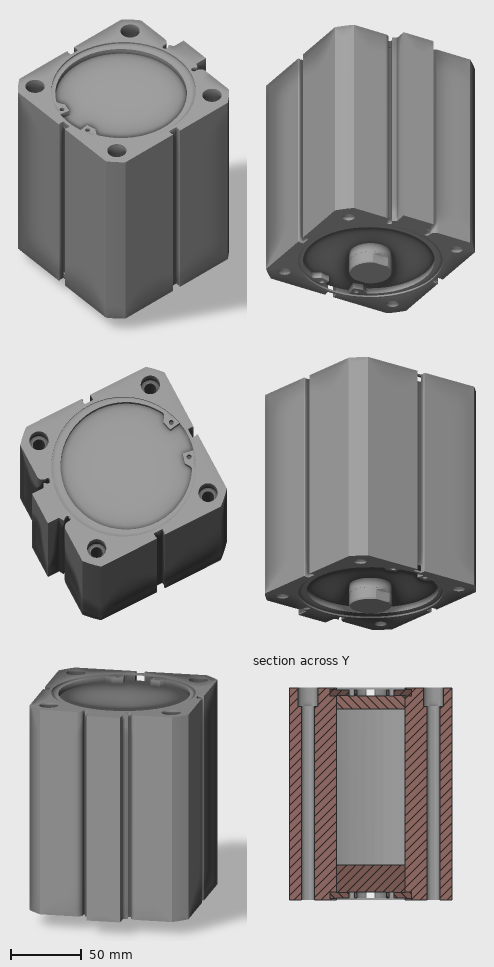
import cadquery as cq
import math

TOTAL_LENGTH = 160.0
ROD_STICK_OUT = 10.0
BODY_HEIGHT = TOTAL_LENGTH - ROD_STICK_OUT
BODY_WIDTH = 115.0
HALF_WIDTH = BODY_WIDTH / 2
TOTAL_DEPTH = 124.0
CORNER_RADIUS = 74.7

BORE_RADIUS = 51.0

SLOT_FLOOR = 53.1
SLOT_WIDTH = 6.9
SLOT_NECK = 5.6
SLOT_MOUTH = 6.5
SLOT_LIP = 0.8

RAIL_HALF_WIDTH = 12.2
GROOVE_X = 15.5
GROOVE_Y = 52.3
GROOVE_RADIUS = 2.0
GROOVE_SLANT = 30
GROOVE_LIP_Y = 55.7
GROOVE_ROUND_X = 21.8

HOLE_OFFSET = 44.3
HOLE_DIAMETER = 8.6
COUNTERBORE_DIAMETER = 13.6
COUNTERBORE_DEPTH = 12.8

RING_RADIUS = 53.3
RING_THICKNESS = 4.3
RING_INSET = 1.3
RING_INNER_RADIUS = 46.5
RING_INNER_SHIFT = 2.2
RING_TURN = -0.8
EAR_TIP = (17.0, -40.0)
EAR_CORNER = (9.8, -41.8)
EAR_FOOT = (6.8, -30.8)
EAR_NECK_X = 22.0
EAR_NECK_FILLET = 2.9
NECK_MARGIN = 0.3
EAR_HOLE = (14.0, -44.8)
EAR_HOLE_RADIUS = 1.8

CAP_THICKNESS = 9.6
ROD_COVER_THICKNESS = 19.2

ROD_RADIUS = 15.0
ROD_GROOVE_TOP = 1.3
ROD_GROOVE_WIDTH = 0.5
ROD_GROOVE_DEPTH = 0.2
ROD_CHAMFER_LENGTH = 1.1
ROD_CHAMFER_WIDTH = 0.5
FLAT_DISTANCE = 13.8

RING_ZS = (RING_INSET, BODY_HEIGHT - RING_INSET - RING_THICKNESS)


def corner_block():
    """Square block with its four corners turned to a large radius."""
    square = cq.Workplane("XY").rect(BODY_WIDTH, BODY_WIDTH).extrude(BODY_HEIGHT)
    return square.intersect(cq.Workplane("XY").circle(CORNER_RADIUS).extrude(BODY_HEIGHT))


def rail():
    rail_top = TOTAL_DEPTH - HALF_WIDTH
    return (
        cq.Workplane("XY")
        .center(0, (GROOVE_Y + rail_top) / 2)
        .rect(2 * RAIL_HALF_WIDTH, rail_top - GROOVE_Y)
        .extrude(BODY_HEIGHT)
    )


def rail_groove():
    """Groove on the +X side of the rail: a round root under a hooked lip, with a rounded outer edge."""
    outer_x = GROOVE_X + GROOVE_RADIUS
    edge_width = GROOVE_ROUND_X - outer_x
    slant = math.radians(GROOVE_SLANT)
    root_x = GROOVE_X - GROOVE_RADIUS * math.cos(slant)
    root_y = GROOVE_Y + GROOVE_RADIUS * math.sin(slant)
    round_y = HALF_WIDTH - edge_width
    round_mid_x = GROOVE_ROUND_X - edge_width * math.sin(math.pi / 4)
    round_mid_y = round_y + edge_width * math.sin(math.pi / 4)
    return (
        cq.Workplane("XY")
        .moveTo(RAIL_HALF_WIDTH, HALF_WIDTH)
        .lineTo(GROOVE_X, GROOVE_LIP_Y)
        .lineTo(root_x, root_y)
        .threePointArc((GROOVE_X, GROOVE_Y - GROOVE_RADIUS), (outer_x, GROOVE_Y))
        .lineTo(outer_x, round_y)
        .threePointArc((round_mid_x, round_mid_y), (GROOVE_ROUND_X, HALF_WIDTH))
        .close()
        .extrude(BODY_HEIGHT)
    )


def sensor_slot():
    """Slot in the -Y face, with a pair of flared lips narrowing its mouth."""
    wall = SLOT_WIDTH / 2
    neck = SLOT_NECK / 2
    lip_y = SLOT_LIP - HALF_WIDTH
    right_side = [
        (wall, -SLOT_FLOOR),
        (wall, lip_y),
        (neck, lip_y),
        (SLOT_MOUTH / 2, -HALF_WIDTH),
    ]
    left_side = [(-x, y) for x, y in reversed(right_side)]
    return cq.Workplane("XY").polyline(right_side + left_side).close().extrude(BODY_HEIGHT)


def make_housing():
    body = corner_block().union(rail())
    groove = rail_groove()
    body = body.cut(groove).cut(groove.mirror("YZ"))
    for turn in (-90, 0, 90):
        body = body.cut(sensor_slot().rotate((0, 0, 0), (0, 0, 1), turn))
    body = body.cut(cq.Workplane("XY").circle(BORE_RADIUS).extrude(BODY_HEIGHT))
    for z in RING_ZS:
        body = body.cut(cq.Workplane("XY", origin=(0, 0, z)).circle(RING_RADIUS).extrude(RING_THICKNESS))
    return (
        body.faces(">Z")
        .workplane(origin=(0, 0, BODY_HEIGHT))
        .rect(2 * HOLE_OFFSET, 2 * HOLE_OFFSET, forConstruction=True)
        .vertices()
        .cboreHole(HOLE_DIAMETER, COUNTERBORE_DIAMETER, COUNTERBORE_DEPTH)
    )


def mirrored(point):
    return (-point[0], point[1])


def make_retaining_ring(z):
    """Open ring with its gap at -Y and an ear with a plier hole on each side of the gap."""
    foot_scale = RING_RADIUS / math.hypot(*EAR_FOOT)
    outer_foot = (EAR_FOOT[0] * foot_scale, EAR_FOOT[1] * foot_scale)
    neck = (EAR_NECK_X, -RING_INNER_SHIFT - math.sqrt(RING_INNER_RADIUS**2 - EAR_NECK_X**2))
    ring = (
        cq.Workplane("XY")
        .moveTo(*outer_foot)
        .threePointArc((0, RING_RADIUS), mirrored(outer_foot))
        .lineTo(*mirrored(EAR_CORNER))
        .lineTo(*mirrored(EAR_TIP))
        .lineTo(*mirrored(neck))
        .threePointArc((0, RING_INNER_RADIUS - RING_INNER_SHIFT), neck)
        .lineTo(*EAR_TIP)
        .lineTo(*EAR_CORNER)
        .close()
        .extrude(RING_THICKNESS)
    )
    necks = cq.selectors.BoxSelector(
        (-EAR_NECK_X - NECK_MARGIN, neck[1] - NECK_MARGIN, 0),
        (EAR_NECK_X + NECK_MARGIN, neck[1] + NECK_MARGIN, RING_THICKNESS),
    )
    ring = ring.edges("|Z").edges(necks).fillet(EAR_NECK_FILLET)
    holes = (
        cq.Workplane("XY")
        .pushPoints([EAR_HOLE, mirrored(EAR_HOLE)])
        .circle(EAR_HOLE_RADIUS)
        .extrude(RING_THICKNESS)
    )
    return ring.cut(holes).rotate((0, 0, 0), (0, 0, 1), RING_TURN).translate((0, 0, z))


CAP_Z = RING_ZS[1] - CAP_THICKNESS
ROD_COVER_Z = RING_ZS[0] + RING_THICKNESS


def make_head_cap():
    return cq.Workplane("XY", origin=(0, 0, CAP_Z)).circle(BORE_RADIUS).extrude(CAP_THICKNESS)


def make_rod_cover():
    return (
        cq.Workplane("XY", origin=(0, 0, ROD_COVER_Z))
        .circle(BORE_RADIUS)
        .circle(ROD_RADIUS)
        .extrude(ROD_COVER_THICKNESS)
    )


def wrench_flat():
    """Cut for the -Y wrench flat, ending in a 45 degree slope that starts at the rod groove."""
    slope_top = -ROD_GROOVE_TOP - ROD_GROOVE_WIDTH
    slope = ROD_RADIUS - FLAT_DISTANCE
    return (
        cq.Workplane("YZ")
        .moveTo(-ROD_RADIUS, slope_top)
        .lineTo(-FLAT_DISTANCE, slope_top - slope)
        .lineTo(-FLAT_DISTANCE, -ROD_STICK_OUT)
        .lineTo(-ROD_RADIUS, -ROD_STICK_OUT)
        .close()
        .extrude(ROD_RADIUS, both=True)
    )


def make_piston_rod():
    rod = (
        cq.Workplane("XY", origin=(0, 0, -ROD_STICK_OUT))
        .circle(ROD_RADIUS)
        .extrude(CAP_Z + ROD_STICK_OUT)
        .faces("<Z")
        .chamfer(ROD_CHAMFER_LENGTH, ROD_CHAMFER_WIDTH)
    )
    groove = (
        cq.Workplane("XY", origin=(0, 0, -ROD_GROOVE_TOP - ROD_GROOVE_WIDTH))
        .circle(ROD_RADIUS)
        .circle(ROD_RADIUS - ROD_GROOVE_DEPTH)
        .extrude(ROD_GROOVE_WIDTH)
    )
    flat = wrench_flat()
    return rod.cut(groove).cut(flat).cut(flat.mirror("XZ"))


housing = make_housing()
rings = [make_retaining_ring(z) for z in RING_ZS]
head_cap = make_head_cap()
rod_cover = make_rod_cover()
piston_rod = make_piston_rod()

result = cq.Compound.makeCompound(
    [housing.val(), *[ring.val() for ring in rings], head_cap.val(), rod_cover.val(), piston_rod.val()]
)